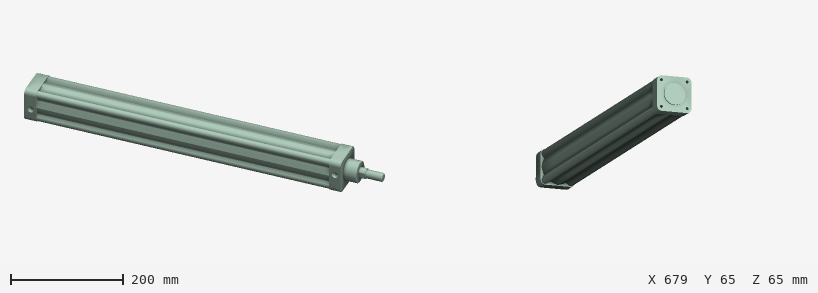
import cadquery as cq
import math

DISC_BACK = 0.0
REAR_CAP_BACK = 3.0
BARREL_START = 26.0
BARREL_END = 587.0
FRONT_CAP_END = 610.0
COLLAR_END = 634.0
NECK_END = 647.0
RELIEF_END = 650.0
ROD_END = 679.0

CAP_SIDE = 65.0
CORNER_RADIUS = 9.0
SCREW_OFFSET = 24.5
DISC_DIAMETER = 40.0
COLLAR_DIAMETER = 41.0
COLLAR_CHAMFER = 1.0
SCREW_HOLE_DIAMETER = 5.5
PORT_DIAMETER = 12.0
PORT_DEPTH = 10.0
PORT_OFFSET = 5.5
REAR_PORT_X = 15.5
FRONT_PORT_X = 599.0

TUBE_RADIUS = 30.0
RIDGE_HALF_WIDTH = 7.5
RIDGE_TOP = 31.0
GROOVE_FLOOR_START = 13.5
GROOVE_FLOOR_END = 15.5
LOBE_START = 20.0
LOBE_CENTRE = SCREW_OFFSET
LOBE_RADIUS = 7.0

NECK_DIAMETER = 20.0
FLATS_WIDTH = 17.0
THREAD_DIAMETER = 16.0
RELIEF_DIAMETER = 15.0
TIP_CHAMFER = 1.5


def cross_section(x):
    """Workplane across the axis: local x is +Y, local y is +Z, extruding toward +X."""
    return cq.Workplane("YZ", origin=(x, 0, 0))


def round_bar(start, end, diameter):
    return cross_section(start).circle(diameter / 2).extrude(end - start)


def cap_block(start, end):
    block = cross_section(start).rect(CAP_SIDE, CAP_SIDE).extrude(end - start)
    return block.edges("|X").fillet(CORNER_RADIUS)


def port(x, z):
    """Blind round hole cutter entering the -Y side of a cap."""
    side = cq.Workplane("XZ", origin=(x, -CAP_SIDE / 2, z))
    return side.circle(PORT_DIAMETER / 2).extrude(-PORT_DEPTH)


def make_rear_cap():
    cap = cap_block(REAR_CAP_BACK, BARREL_START)
    cap = cap.union(round_bar(DISC_BACK, REAR_CAP_BACK, DISC_DIAMETER))
    screw_holes = (
        cross_section(REAR_CAP_BACK)
        .rect(2 * SCREW_OFFSET, 2 * SCREW_OFFSET, forConstruction=True)
        .vertices()
        .circle(SCREW_HOLE_DIAMETER / 2)
        .extrude(BARREL_START - REAR_CAP_BACK)
    )
    return cap.cut(screw_holes).cut(port(REAR_PORT_X, -PORT_OFFSET))


def make_front_cap():
    collar = round_bar(FRONT_CAP_END, COLLAR_END, COLLAR_DIAMETER)
    collar = collar.faces(">X").chamfer(COLLAR_CHAMFER)
    cap = cap_block(BARREL_END, FRONT_CAP_END).union(collar)
    return cap.cut(port(FRONT_PORT_X, PORT_OFFSET))


def turned(point, quarter_turns):
    """Rotate a profile point about the axis by whole quarter turns."""
    u, v = point
    for _ in range(quarter_turns):
        u, v = -v, u
    return u, v


def make_barrel():
    """Solid bar: a ridge, an arc and two grooves on each side, and a round lobe at each corner."""
    ridge_foot = math.sqrt(TUBE_RADIUS**2 - RIDGE_HALF_WIDTH**2)
    groove_floor = math.sqrt(TUBE_RADIUS**2 - GROOVE_FLOOR_START**2)
    arc_middle = (RIDGE_HALF_WIDTH + GROOVE_FLOOR_START) / 2
    arc_middle_height = math.sqrt(TUBE_RADIUS**2 - arc_middle**2)
    lobe_reach = LOBE_CENTRE - LOBE_START
    lobe_foot = LOBE_CENTRE + math.sqrt(LOBE_RADIUS**2 - lobe_reach**2)
    lobe_tip = LOBE_CENTRE + LOBE_RADIUS * math.sqrt(0.5)

    profile = cross_section(BARREL_START).moveTo(0, RIDGE_TOP)
    for quarter in range(4):
        turns = (4 - quarter) % 4
        profile = (
            profile.lineTo(*turned((RIDGE_HALF_WIDTH, ridge_foot), turns))
            .threePointArc(
                turned((arc_middle, arc_middle_height), turns),
                turned((GROOVE_FLOOR_START, groove_floor), turns),
            )
            .lineTo(*turned((GROOVE_FLOOR_END, groove_floor), turns))
            .lineTo(*turned((LOBE_START, lobe_foot), turns))
            .threePointArc(
                turned((lobe_tip, lobe_tip), turns),
                turned((lobe_foot, LOBE_START), turns),
            )
            .lineTo(*turned((groove_floor, GROOVE_FLOOR_END), turns))
            .lineTo(*turned((groove_floor, GROOVE_FLOOR_START), turns))
            .threePointArc(
                turned((arc_middle_height, arc_middle), turns),
                turned((ridge_foot, RIDGE_HALF_WIDTH), turns),
            )
            .lineTo(*turned((RIDGE_TOP, 0), turns))
        )
    return profile.close().extrude(BARREL_END - BARREL_START)


def make_piston_rod():
    neck = round_bar(COLLAR_END, NECK_END, NECK_DIAMETER)
    flats = cross_section(COLLAR_END).rect(FLATS_WIDTH, NECK_DIAMETER).extrude(NECK_END - COLLAR_END)
    relief = round_bar(NECK_END, RELIEF_END, RELIEF_DIAMETER)
    thread = round_bar(RELIEF_END, ROD_END, THREAD_DIAMETER)
    thread = thread.faces(">X").chamfer(TIP_CHAMFER)
    return neck.intersect(flats).union(relief).union(thread)


rear_cap = make_rear_cap()
barrel = make_barrel()
front_cap = make_front_cap()
piston_rod = make_piston_rod()

result = cq.Compound.makeCompound([rear_cap.val(), barrel.val(), front_cap.val(), piston_rod.val()])